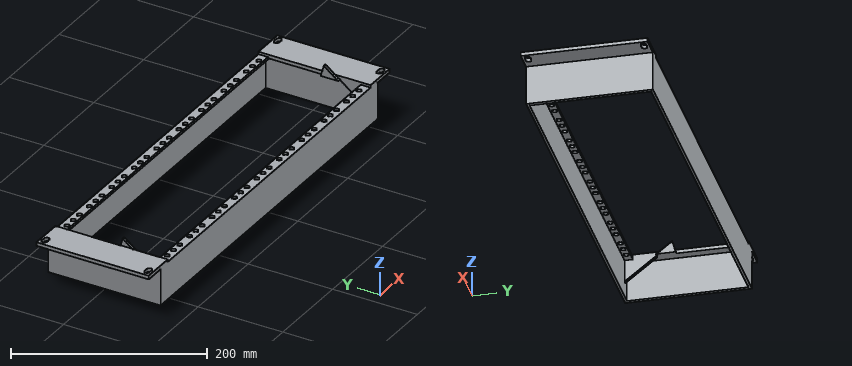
import cadquery as cq

length = 483.0
depth = 133.0
height = 56.0

ear_width = 38.0
ear_thickness = 4.5
ear_top = 47.5
ear_bottom = ear_top - ear_thickness
ear_inner_x = length / 2 - ear_width

frame_length = 435.5
frame_top = 44.5
sheet = 3.0
end_wall = ear_thickness
flange_width = 11.5

slot_length = 10.5
slot_width = 6.0
slot_from_end = 8.5
slot_from_side = 6.0
slot_x = length / 2 - slot_from_end
slot_y = depth / 2 - slot_from_side

hole_diameter = 5.5
hole_from_side = 7.2
hole_y = depth / 2 - hole_from_side
group_count = 9
group_pitch = 45.0
holes_per_group = 3
hole_pitch = 12.5

tab_thickness = 3.5
tab_back_y = -9.0
tab_tip_y = -13.0
tab_front_y = -30.0


def centred_places(count, pitch):
    """Evenly pitched places, centred on zero."""
    return [(i - (count - 1) / 2) * pitch for i in range(count)]


def make_frame():
    """Open box of sheet with an inward flange along both long walls."""
    outer = cq.Workplane("XY").box(frame_length, depth, frame_top, centered=(True, True, False))
    inside_length = frame_length - 2 * end_wall
    below_flanges = cq.Workplane("XY").box(
        inside_length, depth - 2 * sheet, frame_top - sheet, centered=(True, True, False)
    )
    opening = cq.Workplane("XY").box(
        inside_length, depth - 2 * flange_width, frame_top, centered=(True, True, False)
    )
    return outer.cut(below_flanges).cut(opening)


def make_ear(side):
    """Ear plate at one end; side is -1 or 1 along X."""
    return (
        cq.Workplane("XY", origin=(side * (length - ear_width) / 2, 0, ear_bottom))
        .box(ear_width, depth, ear_thickness, centered=(True, True, False))
    )


def make_tab(side):
    """Triangular tab standing against the inner edge of one ear."""
    return (
        cq.Workplane("YZ", origin=(side * ear_inner_x, 0, 0))
        .polyline([(tab_back_y, ear_bottom), (tab_tip_y, height), (tab_front_y, ear_bottom)])
        .close()
        .extrude(-side * tab_thickness)
    )


def make_web(side):
    """Triangular web under one ear, running down the tab's slope to the front wall."""
    wall_y = sheet - depth / 2
    slope = (height - ear_bottom) / (tab_tip_y - tab_front_y)
    wall_z = ear_bottom - slope * (tab_front_y - wall_y)
    return (
        cq.Workplane("YZ", origin=(side * ear_inner_x, 0, 0))
        .polyline([(tab_front_y, ear_bottom), (wall_y, ear_bottom), (wall_y, wall_z)])
        .close()
        .extrude(side * tab_thickness)
    )


def make_slots():
    """Cutters for the four ear slots."""
    return (
        cq.Workplane("XY", origin=(0, 0, ear_bottom))
        .rect(2 * slot_x, 2 * slot_y, forConstruction=True)
        .vertices()
        .slot2D(slot_length, slot_width)
        .extrude(ear_thickness)
    )


def make_flange_holes():
    """Cutters for both rows of flange holes."""
    places = [
        (group_x + hole_x, side * hole_y)
        for side in (-1, 1)
        for group_x in centred_places(group_count, group_pitch)
        for hole_x in centred_places(holes_per_group, hole_pitch)
    ]
    return (
        cq.Workplane("XY", origin=(0, 0, frame_top - sheet))
        .pushPoints(places)
        .circle(hole_diameter / 2)
        .extrude(sheet)
    )


result = make_frame()
for end in (-1, 1):
    result = result.union(make_ear(end)).union(make_tab(end)).union(make_web(end))
result = result.cut(make_slots()).cut(make_flange_holes())